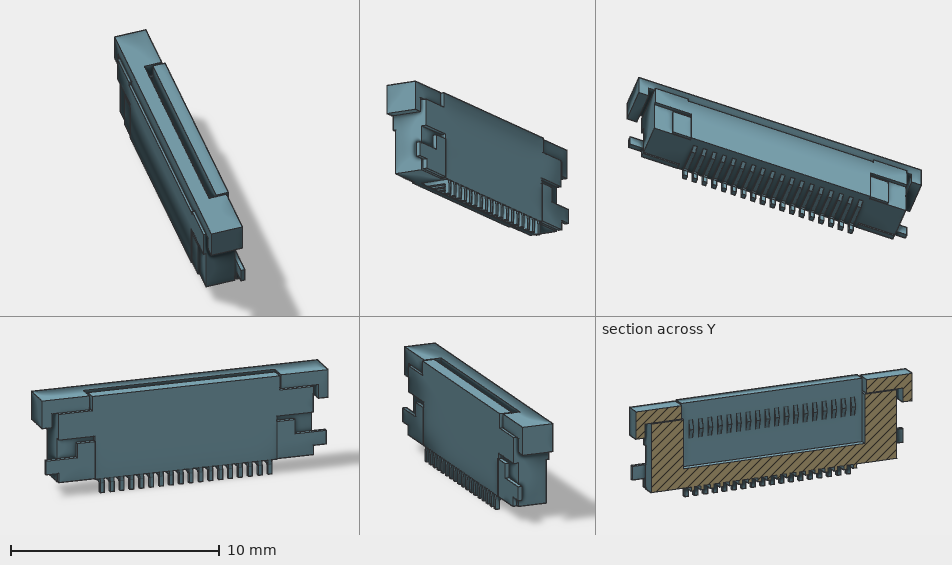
import cadquery as cq


housing_width = 12.9
housing_back = 1.83
housing_top = 3.48
front_recess_top = 3.3
mouth_width = 9.5
rear_wall_front = 1.21
overall_top = 4.2
cable_slot_front = 0.82
cable_slot_floor = 1.0

pocket_top = 2.18
pocket_inner_x = 4.6
front_pocket_depth = 0.13
rear_pocket_depth = 0.25

clip_width = 0.92
clip_bottom = 0.04
clip_top = 1.92
front_clip_face = 0.03
rear_clip_face = 1.87
rear_clip_thickness = 0.2
tab_tip_x = 7.1
tab_bottom = 0.51
tab_top = 1.2

actuator_width = 14.5
actuator_front = 0.12
actuator_back = 1.7
actuator_bottom = 3.5
actuator_leg_width = 0.5
actuator_leg_bottom = 2.8
actuator_window_width = 9.7

contact_count = 18
contact_pitch = 0.5
contact_width = 0.2
leg_bottom = -0.7
leg_thickness = 0.2
arm_thickness = 0.2
arm_front = 0.36
arm_slope_length = 0.27
bend_chamfer = 0.06
contact_nose_reach = 0.13
contact_nose_top = 3.3
contact_nose_height = 0.9


def box(x_range, y_range, z_range):
    """Axis-aligned box between the given limits."""
    x0, x1 = x_range
    y0, y1 = y_range
    z0, z1 = z_range
    return cq.Workplane("XY").box(x1 - x0, y1 - y0, z1 - z0, centered=False).translate((x0, y0, z0))


def centred_box(width, y_range, z_range):
    """Box centred on X = 0."""
    return box((-width / 2, width / 2), y_range, z_range)


def both_ends(shape):
    """The shape together with its mirror image about X = 0."""
    return shape.union(shape.mirror("YZ"))


def make_housing():
    body = centred_box(housing_width, (0, housing_back), (0, housing_top))
    front_recess = centred_box(mouth_width, (0, rear_wall_front), (front_recess_top, housing_top))
    cable_slot = centred_box(
        mouth_width, (cable_slot_front, rear_wall_front), (cable_slot_floor, housing_top)
    )
    rear_wall = centred_box(mouth_width, (rear_wall_front, housing_back), (0, overall_top))
    pocket_x = (-housing_width / 2, -pocket_inner_x)
    front_pocket = box(pocket_x, (0, front_pocket_depth), (0, pocket_top))
    rear_pocket = box(pocket_x, (housing_back - rear_pocket_depth, housing_back), (0, pocket_top))
    pockets = both_ends(front_pocket.union(rear_pocket))
    return body.cut(front_recess).cut(cable_slot).union(rear_wall).cut(pockets)


def make_clips():
    """Front and rear clip plates, with a solder tab reaching out past each end of the housing."""
    plate_x = (-pocket_inner_x - clip_width, -pocket_inner_x)
    plate_z = (clip_bottom, clip_top)
    rear_y = (rear_clip_face - rear_clip_thickness, rear_clip_face)
    front_plate = box(plate_x, (front_clip_face, front_pocket_depth), plate_z)
    rear_plate = box(plate_x, rear_y, plate_z)
    tab = box((-tab_tip_x, -pocket_inner_x), rear_y, (tab_bottom, tab_top))
    foot = box((-housing_width / 2, -pocket_inner_x), rear_y, (clip_bottom, tab_bottom))
    return both_ends(front_plate.union(rear_plate).union(tab).union(foot))


def make_actuator():
    bar = centred_box(actuator_width, (actuator_front, actuator_back), (actuator_bottom, overall_top))
    window = centred_box(
        actuator_window_width, (cable_slot_front, actuator_back), (actuator_bottom, overall_top)
    )
    skirt = centred_box(
        mouth_width, (actuator_front, cable_slot_front), (front_recess_top, actuator_bottom)
    )
    leg = box(
        (-actuator_width / 2, -actuator_width / 2 + actuator_leg_width),
        (actuator_front, actuator_back),
        (actuator_leg_bottom, actuator_bottom),
    )
    return bar.cut(window).union(skirt).union(both_ends(leg))


def extrude_contact_profile(points):
    """Extrude a Y-Z outline to the contact width, centred on X = 0."""
    return cq.Workplane("YZ").polyline(points).close().extrude(contact_width / 2, both=True)


def make_contact():
    """Solder leg with its arm under the housing, and the nose that presses on the cable."""
    leg_back = rear_clip_face
    leg_front = leg_back - leg_thickness
    leg = extrude_contact_profile(
        [
            (arm_front, 0),
            (arm_front + arm_slope_length, -arm_thickness),
            (leg_front - bend_chamfer, -arm_thickness),
            (leg_front, -arm_thickness - bend_chamfer),
            (leg_front, leg_bottom),
            (leg_back, leg_bottom),
            (leg_back, -arm_thickness),
            (housing_back, 0),
        ]
    )
    nose_tip = rear_wall_front - contact_nose_reach
    nose = extrude_contact_profile(
        [
            (rear_wall_front, contact_nose_top),
            (nose_tip, contact_nose_top - contact_nose_height / 2),
            (rear_wall_front, contact_nose_top - contact_nose_height),
        ]
    )
    return leg.union(nose)


result = make_housing().union(make_clips()).union(make_actuator())
contact = make_contact()
first_contact_x = -(contact_count - 1) * contact_pitch / 2
for index in range(contact_count):
    result = result.union(contact.translate((first_contact_x + index * contact_pitch, 0, 0)))